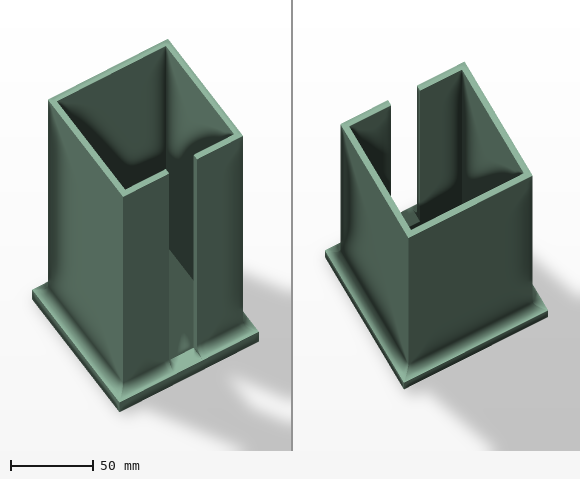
import cadquery as cq

height = 210.0
base_side = 100.0
base_thickness = 10.0

tube_side = 86.0
wall = 4.0
cavity_side = tube_side - 2 * wall

cavity_floor = wall

cove_radius = (base_side - tube_side) / 2

slot_width = 20.0
slot_floor = base_thickness


def block(side, bottom, top):
    """Square block centred on the Z axis."""
    return cq.Workplane("XY").workplane(offset=bottom).rect(side, side).extrude(top - bottom)


def cove_strip():
    """Cove along the +X side, mitred at its ends by the diagonals of the base."""
    outer = base_side / 2
    inner = tube_side / 2
    cove_top = base_thickness + cove_radius
    profile = (
        cq.Workplane("XZ", origin=(0, outer, 0))
        .moveTo(0, base_thickness)
        .lineTo(outer, base_thickness)
        .radiusArc((inner, cove_top), cove_radius)
        .lineTo(0, cove_top)
        .close()
        .extrude(base_side)
    )
    mitre = (
        cq.Workplane("XY")
        .polyline([(0, 0), (outer, -outer), (outer, outer)])
        .close()
        .extrude(cove_top)
    )
    return profile.intersect(mitre)


body = block(base_side, 0, base_thickness).union(block(tube_side, base_thickness, height))
for quarter_turn in range(4):
    body = body.union(cove_strip().rotate((0, 0, 0), (0, 0, 1), 90 * quarter_turn))

cavity = block(cavity_side, cavity_floor, height)
slot = cq.Workplane("XY").box(
    base_side / 2, slot_width, height - slot_floor, centered=(False, True, False)
).translate((0, 0, slot_floor))

result = body.cut(cavity).cut(slot)